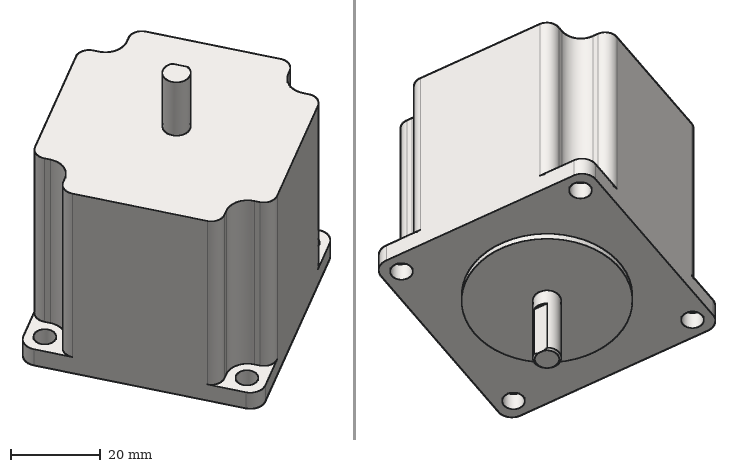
import cadquery as cq

width = 56.4
total_height = 90.6
body_top = 54.0
plate_thickness = 4.9
plate_corner_radius = 3.5

hole_diameter = 5.1
hole_spacing = 47.1

recess_depth = 9.4
recess_inner_radius = 5.0
recess_lip_radius = 3.1

pilot_diameter = 38.1
pilot_height = 1.6

shaft_diameter = 6.3
shaft_bottom = -20.6
shaft_top = shaft_bottom + total_height
shaft_chamfer = 0.45
flat_depth = 0.5
upper_round_length = 1.1
lower_round_length = 4.2


def make_body():
    """Motor body above the plate, with a rounded recess in each corner."""
    height = body_top - plate_thickness
    base = cq.Workplane("XY", origin=(0, 0, plate_thickness))
    recesses = (
        base.rect(width, width, forConstruction=True)
        .vertices()
        .rect(2 * recess_depth, 2 * recess_depth)
        .extrude(height)
        .edges("|Z")
        .fillet(recess_inner_radius)
    )
    body = base.rect(width, width).extrude(height).cut(recesses)
    for side in ("<X", ">X", "<Y", ">Y"):
        body = body.faces(side).edges("|Z").fillet(recess_lip_radius)
    return body


def make_plate():
    """Rounded mounting plate, without its screw holes."""
    return (
        cq.Workplane("XY")
        .rect(width, width)
        .extrude(plate_thickness)
        .edges("|Z")
        .fillet(plate_corner_radius)
    )


def make_screw_holes():
    """Cutters for the four holes through the plate."""
    return (
        cq.Workplane("XY")
        .rect(hole_spacing, hole_spacing, forConstruction=True)
        .vertices()
        .circle(hole_diameter / 2)
        .extrude(plate_thickness)
    )


def flat_cutter(start, end):
    """Block that removes the +Y side of the shaft between two heights."""
    flat_y = shaft_diameter / 2 - flat_depth
    return (
        cq.Workplane("XY", origin=(0, flat_y, start))
        .rect(shaft_diameter, 2 * flat_depth)
        .extrude(end - start)
        .translate((0, flat_depth, 0))
    )


def make_shaft():
    """Through shaft, chamfered below, with a flat at each end."""
    shaft = (
        cq.Workplane("XY", origin=(0, 0, shaft_bottom))
        .circle(shaft_diameter / 2)
        .extrude(total_height)
        .faces("<Z")
        .chamfer(shaft_chamfer)
    )
    shaft = shaft.cut(flat_cutter(body_top + upper_round_length, shaft_top))
    return shaft.cut(flat_cutter(shaft_bottom, -pilot_height - lower_round_length))


pilot = cq.Workplane("XY").circle(pilot_diameter / 2).extrude(-pilot_height)

result = (
    make_plate()
    .union(make_body())
    .union(pilot)
    .cut(make_screw_holes())
    .union(make_shaft())
)